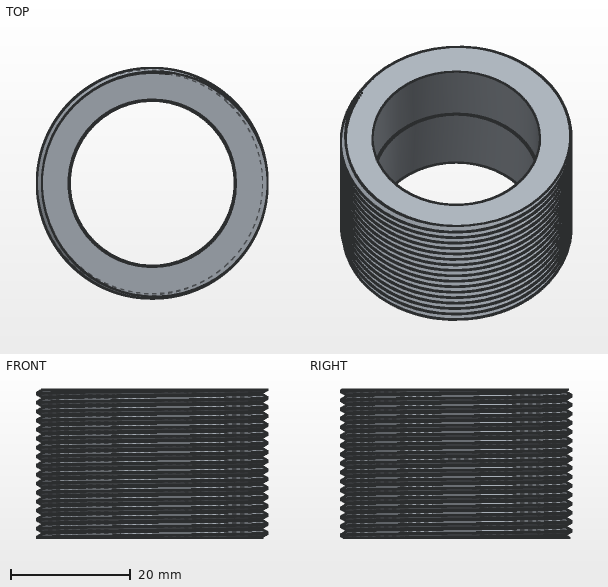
import cadquery as cq
import math

height = 24.75
crest_diameter = 38.5
root_diameter = 36.8
upper_bore_diameter = 27.9
lower_bore_diameter = 27.5
upper_bore_depth = 11.55

turns_in_height = 16.5
pitch = height / turns_in_height
flank_half_angle = math.radians(30)
crest_flat = pitch / 8
crest_rise_at_top = 0.08
root_overlap = 0.08

crest_radius = crest_diameter / 2
root_radius = root_diameter / 2


def make_core():
    """Plain cylinder at the thread root."""
    return cq.Workplane("XY").circle(root_radius).extrude(height)


def make_thread_ridge():
    """Helical ridge that runs past both end faces and is trimmed flush with them."""
    turns = math.ceil(height / pitch) + 2
    start_z = height + crest_rise_at_top - (turns - 1) * pitch
    base_radius = root_radius - root_overlap
    half_crest = crest_flat / 2
    half_base = half_crest + (crest_radius - base_radius) * math.tan(flank_half_angle)

    helix = cq.Wire.makeHelix(pitch, turns * pitch, root_radius).translate(cq.Vector(0, 0, start_z))
    profile = cq.Workplane("XZ").polyline([
        (base_radius, start_z - half_base),
        (crest_radius, start_z - half_crest),
        (crest_radius, start_z + half_crest),
        (base_radius, start_z + half_base),
    ]).close()
    ridge = profile.sweep(cq.Workplane(obj=helix), isFrenet=True)

    envelope = cq.Workplane("XY").circle(crest_diameter).extrude(height)
    return ridge.intersect(envelope)


def make_stepped_bore():
    """Through bore with a slightly wider upper length."""
    through = cq.Workplane("XY").circle(lower_bore_diameter / 2).extrude(height)
    upper = (
        cq.Workplane("XY")
        .workplane(offset=height - upper_bore_depth)
        .circle(upper_bore_diameter / 2)
        .extrude(upper_bore_depth)
    )
    return through.union(upper)


result = make_core().union(make_thread_ridge()).cut(make_stepped_bore())